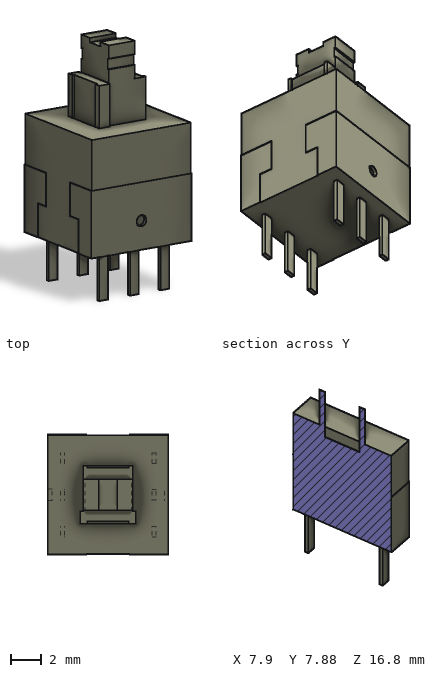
import cadquery as cq

total_height = 16.76
pin_length = 3.25
body_height = 8.05
body_top = pin_length + body_height
shoulder_height = 2.9
shoulder_z = body_top + shoulder_height

housing_x = 7.88
housing_y = 7.8

clip_x = 7.9
clip_y = 7.88
clip_height = 4.6
strap_step_height = 2.31
strap_gap_top = 2.83
strap_gap_bottom = 4.8

side_hole_diameter = 0.75
side_hole_depth = 0.25
side_hole_z = pin_length + 1.98

shoulder_x = 3.25
shoulder_y = 3.8
flange_x = 3.65
flange_y = 0.82
recess_x = 2.75
recess_depth = 0.15
recess_into_body = 0.84

tip_y = 2.05
top_slot_x = 1.19
top_slot_depth = 0.3
waist_x = 3.03
waist_bottom_z = 15.12
waist_top_z = 15.84

pin_x = 0.27
pin_y = 0.69
pin_row_x = 2.98
pin_pitch_y = 2.41


def block(size_x, size_y, bottom_z, top_z, center_x=0, center_y=0):
    """Upright box between two heights, centred at a point in plan."""
    height = top_z - bottom_z
    return (
        cq.Workplane("XY")
        .box(size_x, size_y, height, centered=(True, True, False))
        .translate((center_x, center_y, bottom_z))
    )


def make_body():
    housing = block(housing_x, housing_y, pin_length, body_top)
    clips = block(clip_x, clip_y, pin_length, pin_length + clip_height)
    clips = clips.cut(block(strap_gap_top, clip_y, pin_length, body_top))
    clips = clips.cut(block(strap_gap_bottom, clip_y, pin_length, pin_length + strap_step_height))
    return housing.union(clips)


def make_side_holes():
    across = cq.Workplane("YZ").center(0, side_hole_z).circle(side_hole_diameter / 2)
    through_hole = across.extrude(clip_x / 2, both=True)
    core = block(clip_x - 2 * side_hole_depth, housing_y, pin_length, body_top)
    return through_hole.cut(core)


def make_shoulder():
    flange_center_y = (flange_y - shoulder_y) / 2
    main = block(shoulder_x, shoulder_y, body_top, shoulder_z)
    flange = block(flange_x, flange_y, body_top, shoulder_z, center_y=flange_center_y)
    return main.union(flange)


def make_recesses():
    recesses = cq.Workplane("XY")
    for side in (-1, 1):
        center_y = side * (shoulder_y - recess_depth) / 2
        bottom_z = body_top - recess_into_body
        recesses = recesses.add(block(recess_x, recess_depth, bottom_z, shoulder_z, center_y=center_y))
    return recesses.combine()


def make_tip():
    waist = block(waist_x, tip_y, shoulder_z, total_height)
    lower = block(shoulder_x, tip_y, shoulder_z, waist_bottom_z)
    upper = block(shoulder_x, tip_y, waist_top_z, total_height)
    slot = block(top_slot_x, tip_y, total_height - top_slot_depth, total_height)
    return waist.union(lower).union(upper).cut(slot)


def add_pins(part):
    for x in (-pin_row_x, pin_row_x):
        for y in (-pin_pitch_y, 0, pin_pitch_y):
            part = part.union(block(pin_x, pin_y, 0, pin_length, x, y))
    return part


body = make_body().cut(make_side_holes())
plunger = make_shoulder().union(make_tip())
result = add_pins(body.union(plunger).cut(make_recesses()))